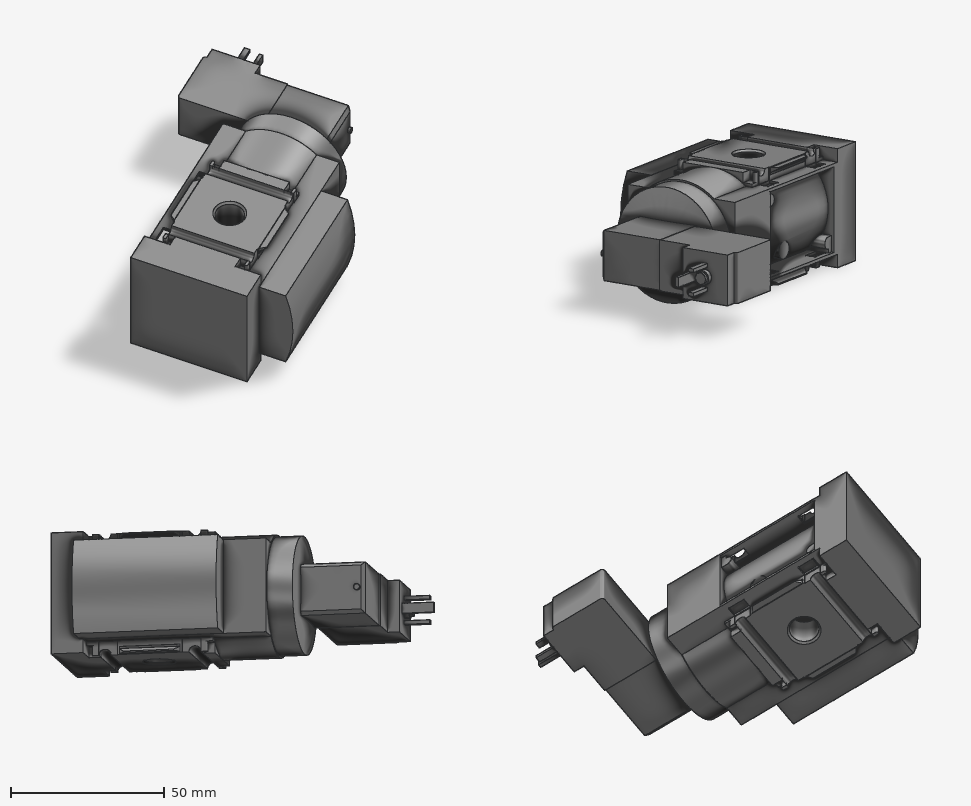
import cadquery as cq
import math

BODY_W = 41.8
BODY_H = 40.2
HALF_W = BODY_W / 2
HALF_H = BODY_H / 2

PORT_Y = 31.7
SECTION_HALF = 21.0
SECTION_START = PORT_Y - SECTION_HALF
SECTION_END = PORT_Y + SECTION_HALF
FLANGE_END = 71.6
RIM_END = 80.1
DOME_TOP = 81.8
OVERALL_LENGTH = 117.3

OVERALL_WIDTH = 75.2

CORE_H = 31.1
CORE_HALF = CORE_H / 2
CAP_DIA = 39.0

WINDOW_H = 28.9
WINDOW_L = 37.8
BARREL_R = 18.6
BUTTON_DIA = 6.1
BUTTON_X = -17.7
BUTTON_Y = 37.65
BUTTON_Z = -8.5
STOP_DIA = 4.2
STOP_X = -19.9
STOP_Z = 11.0
STOP_REACH = 1.8

PAD_W = 30.4
PAD_HALF = PAD_W / 2
GROOVE_DIA = 4.0
GROOVE_OFFSET = 15.0
LATCH_INNER = 10.8
LATCH_OUTER = 17.0
LATCH_INSET = 0.3
LATCH_HOLE_X = -18.8
BRIDGE_HALF = 11.7
NOTCH_FLOOR = 16.7
LUG_T = 1.1
LUG_END = 19.2
LUG_ROUND = 0.5
WING_REACH = 2.1
WING_BASE_HALF = 10.1
WING_TIP_HALF = 8.4
WING_ROOT_Z = 18.1
WING_TIP_Z = 19.4
WING_TOP_Z = 19.8
RELIEF_FLOOR_Z = 17.4
RELIEF_DEPTH = 0.2

PORT_DIA = 9.6
PORT_CHAMFER = 0.7
PORT_DEPTH = 12.0

COVER_START = 9.5
COVER_END = 57.5
COVER_HALF_H = 15.5
COVER_EDGE_X = 30.4
COVER_CROWN_X = 33.0

COIL_LEFT = -12.1
COIL_RIGHT = 11.1
COIL_TOP = 102.4
COIL_H = 17.0
COIL_CHAMFER = 1.2
NUB_DIA = 2.01
NUB_Y = 99.9
NUB_TIP_X = 12.1

PLUG_H = 17.2
PLUG_LEFT = COVER_CROWN_X - OVERALL_WIDTH
PLUG_BOTTOM = 82.2
PLUG_SHOULDER = 102.8
PLUG_ROUND = 1.1
STEP_RIGHT = -23.8
STEP_TOP = 106.7

CONTACT_X = -32.4
BOSS_DIA = 5.0
BOSS_TIP_DIA = 4.0
BOSS_BASE_H = 1.8
BOSS_H = 2.9
PIN_W = 2.0
PIN_T = 1.2
PIN_Z = 4.05
PIN_END = 115.2
BLADE_X = -28.4
BLADE_T = 1.25
BLADE_W = 3.3


def box(x0, x1, y0, y1, z0, z1):
    """Box given by its limits along each axis."""
    return cq.Workplane("XY").box(x1 - x0, y1 - y0, z1 - z0, centered=False).translate((x0, y0, z0))


def y_cylinder(radius, y0, y1, x=0, z=0):
    """Cylinder along Y from y0 to y1."""
    return cq.Workplane("XZ", origin=(x, y0, z)).circle(radius).extrude(y0 - y1)


def x_cylinder(radius, x0, x1, y, z):
    """Cylinder along X from x0 to x1."""
    return cq.Workplane("YZ", origin=(x0, y, z)).circle(radius).extrude(x1 - x0)


def mirrored_in_y(shape):
    """The shape together with its mirror image about the port centre."""
    return shape.union(shape.mirror("XZ", (0, PORT_Y, 0)))


def mirrored_in_x(shape):
    """The shape together with its mirror image about X = 0."""
    return shape.union(shape.mirror("YZ"))


def both_faces(shape):
    """The shape on the +Z face together with its mirror image on the -Z face."""
    return shape.union(shape.mirror("XY"))


def make_body():
    """End block, flat core and the round part of the flange."""
    end_block = box(-HALF_W, HALF_W, 0, SECTION_START, -HALF_H, HALF_H)
    core = box(-HALF_W, HALF_W, 0, FLANGE_END, -CORE_HALF, CORE_HALF)
    flange = y_cylinder(HALF_H, SECTION_END, FLANGE_END)
    return end_block.union(core).union(flange)


def make_cap():
    """Round cap with a shallow domed top."""
    radius = CAP_DIA / 2
    sphere_r = (radius**2 + (DOME_TOP - RIM_END) ** 2) / (2 * (DOME_TOP - RIM_END))
    mid_r = radius / 2
    arc_mid = (mid_r, DOME_TOP - sphere_r + math.sqrt(sphere_r**2 - mid_r**2))
    return (
        cq.Workplane("XY")
        .moveTo(0, FLANGE_END)
        .lineTo(radius, FLANGE_END)
        .lineTo(radius, RIM_END)
        .threePointArc(arc_mid, (0, DOME_TOP))
        .close()
        .revolve(360, (0, 0, 0), (0, 1, 0))
    )


def make_window_cavity():
    """Space of the side window around the barrel, button and corner stops."""
    y0 = PORT_Y - WINDOW_L / 2
    y1 = PORT_Y + WINDOW_L / 2
    half_h = WINDOW_H / 2
    cavity = box(-HALF_W, 0, y0, y1, -half_h, half_h)
    barrel = y_cylinder(BARREL_R, y0, y1)
    button = x_cylinder(BUTTON_DIA / 2, BUTTON_X, 0, BUTTON_Y, BUTTON_Z)
    stop_y = y1 - STOP_REACH
    stop_r = STOP_DIA / 2
    stop = box(STOP_X, 0, stop_y, y1, STOP_Z - stop_r, half_h)
    stop = stop.union(x_cylinder(stop_r, STOP_X, 0, stop_y, STOP_Z))
    far_stop = stop.rotate((0, PORT_Y, 0), (1, PORT_Y, 0), 180)
    return cavity.cut(barrel).cut(button).cut(stop).cut(far_stop)


def make_wing():
    """Tapered wing on the -X side of the upper pad, with a sloping underside."""
    root = -PAD_HALF
    tip = root - WING_REACH
    plan = (
        cq.Workplane("XY", origin=(0, PORT_Y, WING_ROOT_Z))
        .polyline([
            (root, -WING_BASE_HALF),
            (tip, -WING_TIP_HALF),
            (tip, WING_TIP_HALF),
            (root, WING_BASE_HALF),
        ])
        .close()
        .extrude(WING_TOP_Z - WING_ROOT_Z)
    )
    profile = (
        cq.Workplane("XZ", origin=(0, PORT_Y, 0))
        .polyline([(root, WING_ROOT_Z), (tip, WING_TIP_Z), (tip, WING_TOP_Z), (root, WING_TOP_Z)])
        .close()
        .extrude(WING_BASE_HALF, both=True)
    )
    return plan.intersect(profile)


def make_pad():
    """Upper connection pad with grooves, latch insets, reliefs, corner notches, lugs and wings."""
    pad = box(-PAD_HALF, PAD_HALF, SECTION_START, SECTION_END, CORE_HALF, HALF_H)
    groove_y = PORT_Y + GROOVE_OFFSET
    groove = x_cylinder(GROOVE_DIA / 2, -PAD_HALF, PAD_HALF, groove_y, HALF_H)
    inset = box(
        -PAD_HALF, -PAD_HALF + LATCH_INSET,
        PORT_Y + LATCH_INNER, PORT_Y + LATCH_OUTER, CORE_HALF, HALF_H,
    )
    notch = box(
        -PAD_HALF, -BRIDGE_HALF, PORT_Y + LATCH_OUTER, SECTION_END, NOTCH_FLOOR, HALF_H,
    )
    lug = box(
        -PAD_HALF, -PAD_HALF + LUG_T,
        PORT_Y + LATCH_OUTER, PORT_Y + LUG_END, NOTCH_FLOOR, HALF_H,
    )
    lug = lug.edges("|Z and >Y").fillet(LUG_ROUND)
    relief = box(
        -PAD_HALF, -PAD_HALF + RELIEF_DEPTH,
        PORT_Y - WING_BASE_HALF, PORT_Y + WING_BASE_HALF, RELIEF_FLOOR_Z, WING_ROOT_Z,
    )
    corner_cut = notch.cut(lug).union(inset)
    side_cut = mirrored_in_y(corner_cut).union(relief)
    pad = pad.cut(mirrored_in_y(groove)).cut(mirrored_in_x(side_cut))
    return pad.union(mirrored_in_x(make_wing()))


def make_latch_holes():
    """Openings through the upper window wall beside the pad, on the -X side."""
    hole = box(
        LATCH_HOLE_X, -PAD_HALF,
        PORT_Y + LATCH_INNER, PORT_Y + LATCH_OUTER, WINDOW_H / 2, CORE_HALF,
    )
    return mirrored_in_y(hole)


def make_port():
    """Blind port in the upper pad, with a chamfered mouth."""
    mouth = cq.Workplane("XY", origin=(0, PORT_Y, HALF_H))
    bore = mouth.circle(PORT_DIA / 2).extrude(-PORT_DEPTH)
    chamfer = (
        mouth.circle(PORT_DIA / 2 + PORT_CHAMFER)
        .workplane(offset=-PORT_CHAMFER)
        .circle(PORT_DIA / 2)
        .loft()
    )
    return bore.union(chamfer)


def make_cover():
    """Side cover with a crowned outer face."""
    return (
        cq.Workplane("XZ", origin=(0, COVER_START, 0))
        .moveTo(HALF_W, -COVER_HALF_H)
        .lineTo(COVER_EDGE_X, -COVER_HALF_H)
        .threePointArc((COVER_CROWN_X, 0), (COVER_EDGE_X, COVER_HALF_H))
        .lineTo(HALF_W, COVER_HALF_H)
        .close()
        .extrude(COVER_START - COVER_END)
    )


def make_coil():
    """Solenoid coil with chamfered outer edges and a small nub on its +X face."""
    half_h = COIL_H / 2
    coil = box(COIL_LEFT, COIL_RIGHT, RIM_END, COIL_TOP, -half_h, half_h)
    coil = coil.faces(">X").edges("|Y or >Y").chamfer(COIL_CHAMFER)
    nub = x_cylinder(NUB_DIA / 2, COIL_RIGHT - COIL_CHAMFER, NUB_TIP_X, NUB_Y, 0)
    return coil.union(nub)


def make_plug():
    """Plug housing with rounded outer edges and a raised contact face."""
    half_h = PLUG_H / 2
    housing = box(PLUG_LEFT, COIL_LEFT, PLUG_BOTTOM, PLUG_SHOULDER, -half_h, half_h)
    housing = housing.edges("|Z and <X").fillet(PLUG_ROUND)
    step = box(PLUG_LEFT + PLUG_ROUND, STEP_RIGHT, PLUG_BOTTOM, STEP_TOP, -half_h, half_h)
    return housing.union(step)


def make_contacts():
    """Stepped centre boss, two flat pins and the earth blade."""
    boss = y_cylinder(BOSS_DIA / 2, STEP_TOP, STEP_TOP + BOSS_BASE_H, CONTACT_X)
    tip = y_cylinder(BOSS_TIP_DIA / 2, STEP_TOP, STEP_TOP + BOSS_H, CONTACT_X)
    contacts = boss.union(tip)
    for z in (-PIN_Z, PIN_Z):
        pin = box(
            CONTACT_X - PIN_W / 2, CONTACT_X + PIN_W / 2,
            STEP_TOP, PIN_END, z - PIN_T / 2, z + PIN_T / 2,
        )
        contacts = contacts.union(pin)
    blade = box(
        BLADE_X - BLADE_T / 2, BLADE_X + BLADE_T / 2,
        STEP_TOP, OVERALL_LENGTH, -BLADE_W / 2, BLADE_W / 2,
    )
    return contacts.union(blade)


result = make_body().cut(make_window_cavity()).union(both_faces(make_pad()))
result = result.cut(both_faces(make_latch_holes())).cut(both_faces(make_port()))
for attached_part in (make_cap(), make_cover(), make_coil(), make_plug(), make_contacts()):
    result = result.union(attached_part)